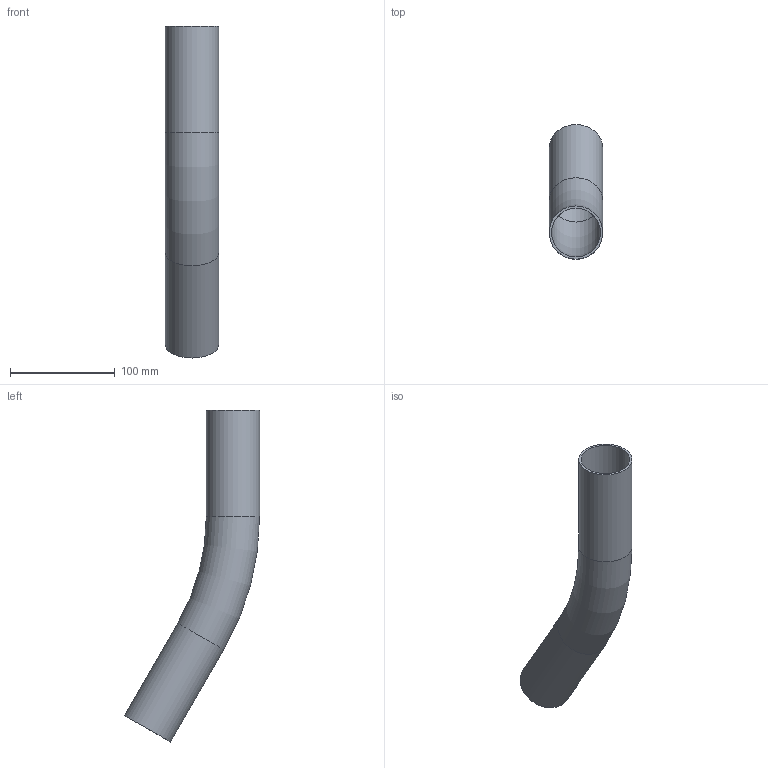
import cadquery as cq
import math

outer_diameter = 50.8
inner_diameter = 46.58
leg_length = 101.6
bend_radius = 228.6
bend_angle = 30.0

half_angle = math.radians(bend_angle / 2)
full_angle = math.radians(bend_angle)


def bend_point(angle):
    """Centreline point (y, z) at an angle along the bend, which starts at the origin."""
    return (bend_radius * (1 - math.cos(angle)), -bend_radius * math.sin(angle))


def tube_centreline():
    """Centreline in the YZ plane, from the top end down to the inclined end."""
    bend_end_y, bend_end_z = bend_point(full_angle)
    lower_end = (
        bend_end_y + leg_length * math.sin(full_angle),
        bend_end_z - leg_length * math.cos(full_angle),
    )
    return (
        cq.Workplane("YZ")
        .moveTo(0, leg_length)
        .lineTo(0, 0)
        .threePointArc(bend_point(half_angle), (bend_end_y, bend_end_z))
        .lineTo(*lower_end)
    )


def bent_tube():
    """Annular section swept along the centreline, leaving both ends open."""
    return (
        cq.Workplane("XY")
        .workplane(offset=leg_length)
        .circle(outer_diameter / 2)
        .circle(inner_diameter / 2)
        .sweep(tube_centreline())
    )


result = bent_tube()